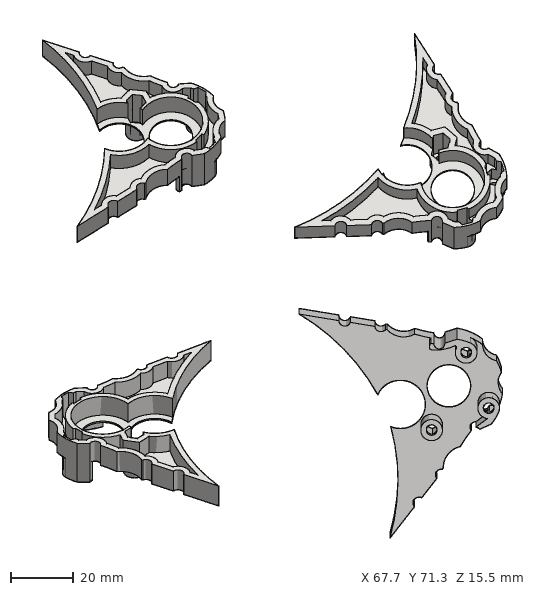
import cadquery as cq
import math

body_height = 8.0
well_floor = 0.6
pocket_floor = 1.5
pin_length = 7.5

tip_offset_x = 35.8
tip_offset_y = 71.3
axis_tilt = math.degrees(math.atan2(tip_offset_x, tip_offset_y))

wall = 2.0
ring_wall = 1.8
ring_hole_diameter = 14.0
ring_inner_radius = 10.3
ring_outer_radius = ring_inner_radius + ring_wall
rim_radius = 17.5
bite_centre = (-16.75, 0)
bite_radius = 8.0
bite_inner_radius = 10.35
bite_outer_radius = bite_inner_radius + ring_wall

pin_diameter = 7.0
pin_hole_diameter = 3.4
pin_circle_radius = rim_radius - pin_diameter / 2
upper_pin_angle = 45
lower_pin_angle = -45
boss_pin_angle = 135
pin_angles = (upper_pin_angle, lower_pin_angle, boss_pin_angle)
hex_flats = 5.5
pin_end_thickness = 2.0

rib_reach = 21.4

nose_half_width = 2.15
lobe_corner = 8.8
lobe_corner_across = math.sqrt(rim_radius**2 - lobe_corner**2)
nose_end = (math.sqrt(rim_radius**2 - nose_half_width**2), nose_half_width)
lobe_start = (lobe_corner_across, lobe_corner)
lobe_middle = (rim_radius * math.cos(math.pi / 4), rim_radius * math.sin(math.pi / 4))
lobe_end = (lobe_corner, lobe_corner_across)
blade_tip = (-36.15, math.hypot(tip_offset_x, tip_offset_y) / 2)
blade_root_u = -22.4
blade_root = (blade_root_u, math.sqrt(bite_radius**2 - (blade_root_u - bite_centre[0]) ** 2))
half_outline = [
    ("arc", (15.0, 5.35), lobe_start),
    ("arc", lobe_middle, lobe_end),
    ("line", (4.65, 15.35)),
    ("arc", (1.85, 14.5), (1.3, 16.4)),
    ("arc", (-1.6, 18.25), (-3.9, 20.05)),
    ("arc", (-9.05, 21.25), (-11.6, 24.7)),
    ("line", (-12.1, 24.9)),
    ("arc", (-14.35, 25.1), (-14.9, 27.1)),
    ("line", (-21.75, 31.25)),
    ("arc", (-24.4, 31.0), (-25.05, 33.2)),
    ("line", blade_tip),
    ("arc", (-26.95, 23.6), blade_root),
]


def flip(point):
    return (point[0], -point[1])


def draw_outline():
    """Closed body outline: the listed half, the bite, then the mirrored half walked backwards."""
    path = cq.Workplane("XY").moveTo(*nose_end)
    for step in half_outline:
        if step[0] == "arc":
            path = path.threePointArc(step[1], step[2])
        else:
            path = path.lineTo(*step[1])
    path = path.threePointArc((bite_centre[0] + bite_radius, 0), flip(blade_root))
    ends = [nose_end] + [step[-1] for step in half_outline]
    for step, end in zip(reversed(half_outline), reversed(ends[:-1])):
        if step[0] == "arc":
            path = path.threePointArc(flip(step[1]), flip(end))
        else:
            path = path.lineTo(*flip(end))
    return path.threePointArc((rim_radius, 0), nose_end).close()


def disc(centre, radius, bottom, top):
    return cq.Workplane("XY", origin=(*centre, bottom)).circle(radius).extrude(top - bottom)


def pin_centre(angle):
    turn = math.radians(angle)
    return (pin_circle_radius * math.cos(turn), pin_circle_radius * math.sin(turn))


def hexagon(angle, flats, bottom, top):
    """Hexagonal prism on a pin centre with one flat facing away from the ring."""
    prism = cq.Workplane("XY").polygon(6, flats / math.cos(math.pi / 6)).extrude(top - bottom)
    turned = prism.rotate((0, 0, 0), (0, 0, 1), angle + 30)
    return turned.translate((*pin_centre(angle), bottom))


def make_pockets():
    """Pockets between the outer wall and the walls around the ring, bite and boss."""
    inner = draw_outline().offset2D(-wall).extrude(body_height - pocket_floor)
    inner = inner.translate((0, 0, pocket_floor))
    inner = inner.cut(disc((0, 0), ring_outer_radius, 0, body_height))
    inner = inner.cut(disc(bite_centre, bite_outer_radius, 0, body_height))
    return inner.cut(hexagon(boss_pin_angle, hex_flats + 2 * wall, 0, body_height))


def make_well():
    """Open well inside the ring and bite walls."""
    well = disc((0, 0), ring_inner_radius, well_floor, body_height)
    return well.union(disc(bite_centre, bite_inner_radius, well_floor, body_height))


def make_rib(region):
    """Part of the outline inside the given closed region, hanging below the body."""
    return draw_outline().extrude(-pin_length).intersect(region.close().extrude(-pin_length))


def make_upper_rib():
    """Flat-sided rib from the notch edge to the pin, ending where the pin touches the rim."""
    corners = [(3.7, 14.2), (3.7, rib_reach), (rib_reach, rib_reach), pin_centre(upper_pin_angle), (8.35, 12.9)]
    return make_rib(cq.Workplane("XY").polyline(corners))


def make_lower_rib():
    """Curved rib around the notch to the pin, ending where the pin touches the rim."""
    region = cq.Workplane("XY").moveTo(0.4, -16.9).threePointArc((-0.5, -15.8), (-0.5, -15.05))
    region = region.threePointArc((3.3, -13.6), (7.35, -13.35)).lineTo(7.8, -12.4)
    region = region.lineTo(*pin_centre(lower_pin_angle)).lineTo(rib_reach, -rib_reach).lineTo(0.4, -rib_reach)
    return make_rib(region)


body = draw_outline().extrude(body_height)
body = body.cut(make_pockets()).cut(make_well())
body = body.cut(disc((0, 0), ring_hole_diameter / 2, 0, body_height))

body = body.union(make_upper_rib()).union(make_lower_rib())

for angle in pin_angles:
    body = body.union(disc(pin_centre(angle), pin_diameter / 2, -pin_length, well_floor))
for angle in pin_angles:
    body = body.cut(hexagon(angle, hex_flats, pin_end_thickness - pin_length, body_height))
    body = body.cut(disc(pin_centre(angle), pin_hole_diameter / 2, -pin_length, body_height))

result = body.rotate((0, 0, 0), (0, 0, 1), axis_tilt)